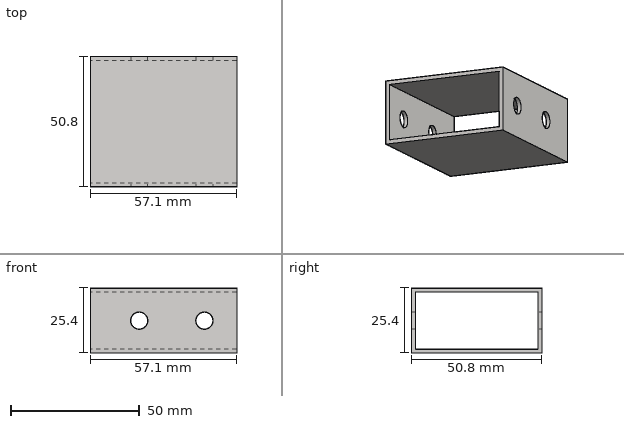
import cadquery as cq

length = 57.15
width = 50.8
height = 25.4
wall = 1.6

hole_diameter = 6.6
first_hole_offset = 19.05
hole_spacing = 25.4

tube = cq.Workplane("XY").box(length, width, height)
bore = cq.Workplane("XY").box(length, width - 2 * wall, height - 2 * wall)
result = tube.cut(bore)

first_hole_x = -length / 2 + first_hole_offset
for hole_x in (first_hole_x, first_hole_x + hole_spacing):
    hole = (
        cq.Workplane("XZ")
        .center(hole_x, 0)
        .circle(hole_diameter / 2)
        .extrude(width / 2, both=True)
    )
    result = result.cut(hole)